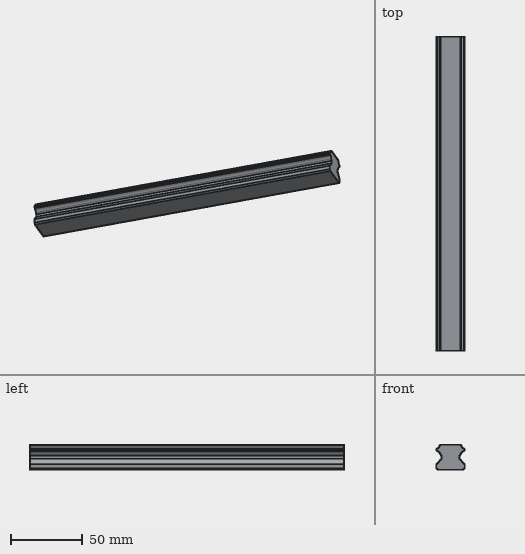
import cadquery as cq

length = 220.0
width = 20.0
height = 17.5
half_width = width / 2

bottom_chamfer = 1.0
foot_side_top_z = 3.7
foot_chamfer = 0.7

waist_half_width = 6.4
waist_bottom_z = 7.7
waist_top_z = 9.7

nose_bottom_z = 13.6
nose_top_z = 14.3
nose_chamfer = 0.7

lower_groove_inner_x = 7.3
lower_groove_inner_z = 11.0
upper_groove_inner_x = 7.7
upper_groove_inner_z = 17.0
groove_sag = 0.37

top_half_width = 6.8


def rail_profile():
    """Cross section of the rail: the right half mirrored about the vertical centre plane."""
    nose_edge_x = half_width - nose_chamfer
    return (
        cq.Workplane("XZ")
        .lineTo(half_width - bottom_chamfer, 0)
        .lineTo(half_width, bottom_chamfer)
        .lineTo(half_width, foot_side_top_z)
        .lineTo(half_width - foot_chamfer, foot_side_top_z + foot_chamfer)
        .lineTo(waist_half_width, waist_bottom_z)
        .lineTo(waist_half_width, waist_top_z)
        .lineTo(lower_groove_inner_x, lower_groove_inner_z)
        .sagittaArc((nose_edge_x, nose_bottom_z - nose_chamfer), groove_sag)
        .lineTo(half_width, nose_bottom_z)
        .lineTo(half_width, nose_top_z)
        .lineTo(nose_edge_x, nose_top_z + nose_chamfer)
        .sagittaArc((upper_groove_inner_x, upper_groove_inner_z), groove_sag)
        .lineTo(top_half_width, height)
        .lineTo(0, height)
        .mirrorY()
    )


result = rail_profile().extrude(length / 2, both=True).clean()